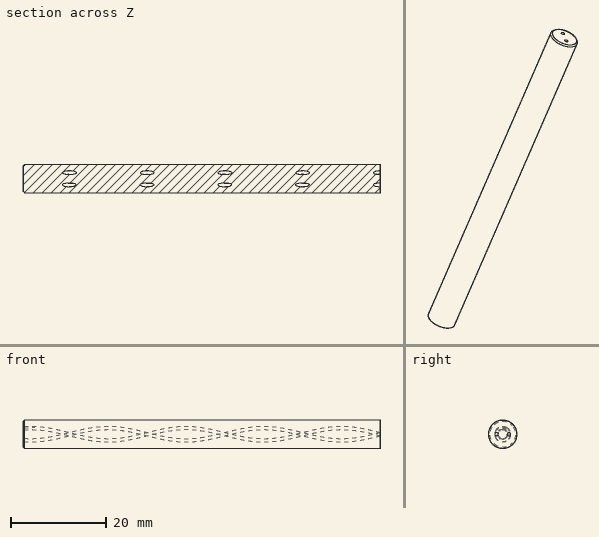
import cadquery as cq
import math

rod_diameter = 6.0
rod_length = 75.0
rod_start_x = -rod_length
chamfer_size = 0.3
channel_diameter = 0.7
channel_circle_diameter = 2.6
channel_count = 2
helix_angle = 30.0

channel_end_angle = 0.0
helix_pitch = math.pi * rod_diameter / math.tan(math.radians(helix_angle))
twist_angle = 360.0 * rod_length / helix_pitch
channel_start_angle = channel_end_angle - twist_angle


def end_plane():
    """Plane of the chamfered -X end, centred on the rod axis and facing +X."""
    return cq.Workplane("YZ", origin=(rod_start_x, 0, 0))


def make_rod():
    """Solid cylinder along X, chamfered at its -X end."""
    rod = end_plane().circle(rod_diameter / 2).extrude(rod_length)
    return rod.faces("<X").chamfer(chamfer_size)


def make_channel(start_angle):
    """Round channel twisting about the X axis over the whole rod length."""
    turn = math.radians(start_angle)
    circle_radius = channel_circle_diameter / 2
    center_y = circle_radius * math.cos(turn)
    center_z = circle_radius * math.sin(turn)
    profile = end_plane().moveTo(center_y, center_z).circle(channel_diameter / 2)
    return profile.twistExtrude(rod_length, twist_angle)


result = make_rod()
for index in range(channel_count):
    result = result.cut(make_channel(channel_start_angle + index * 360.0 / channel_count))